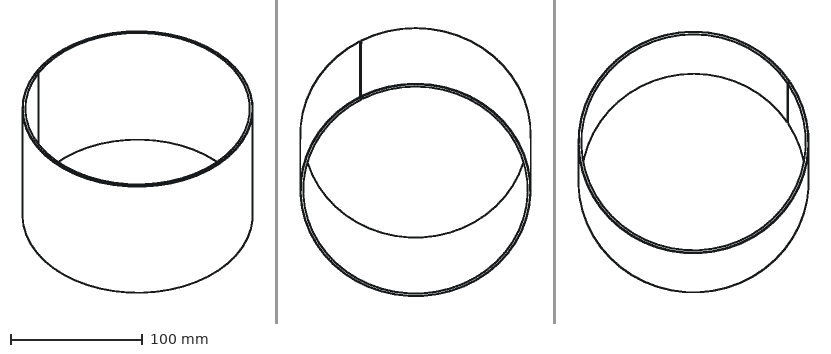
import cadquery as cq

outer_diameter = 175.0
height = 110.0
wall = 2.5
outer_chamfer = 0.5
inner_chamfer = 0.2
slit_angle = 1.0

outer_radius = outer_diameter / 2
inner_radius = outer_radius - wall


def make_wall_profile():
    """Wall section on the -X side, with the outer and inner rims chamfered."""
    outer_x = -outer_radius
    inner_x = -inner_radius
    return (
        cq.Workplane("XZ")
        .moveTo(outer_x, outer_chamfer)
        .lineTo(outer_x + outer_chamfer, 0)
        .lineTo(inner_x - inner_chamfer, 0)
        .lineTo(inner_x, inner_chamfer)
        .lineTo(inner_x, height - inner_chamfer)
        .lineTo(inner_x - inner_chamfer, height)
        .lineTo(outer_x + outer_chamfer, height)
        .lineTo(outer_x, height - outer_chamfer)
        .close()
    )


result = make_wall_profile().revolve(360 - slit_angle, (0, 0), (0, 1))